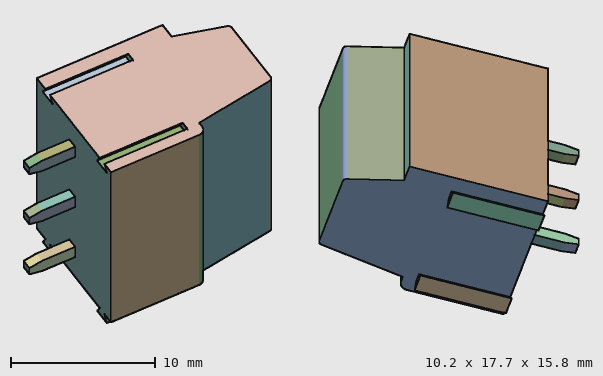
import cadquery as cq


total_length = 17.7
pole_count = 3
pole_pitch = 5.08

pin_length = 3.65
pin_center_x = 4.9
pin_width = 0.8
pin_height = 1.05
pin_tip_height = 0.64
pin_taper_length = 1.01

body_width = 10.25
body_depth = total_length - pin_length
body_height = pole_count * pole_pitch
left_shoulder_y = 10.04
left_shoulder_width = 1.25
right_shoulder_y = 7.61
right_shoulder_width = 1.0
right_shoulder_radius = 0.6
crest_left_x = 2.39
crest_right_x = 8.25
crest_radius = 0.3

dovetail_first_x = 1.5
dovetail_spacing = 7.5
dovetail_neck = 0.65
dovetail_base = 1.35
dovetail_height = 0.6
dovetail_length = 6.62


def make_housing():
    """Stepped outline with a tapered crest, extruded over all poles."""
    outline = [
        (0, 0),
        (body_width, 0),
        (body_width, right_shoulder_y),
        (body_width - right_shoulder_width, right_shoulder_y),
        (crest_right_x, body_depth),
        (crest_left_x, body_depth),
        (left_shoulder_width, left_shoulder_y),
        (0, left_shoulder_y),
    ]
    housing = cq.Workplane("XY").polyline(outline).close().extrude(body_height)
    housing = housing.faces(">Y").edges("|Z").fillet(crest_radius)
    rounded_shoulder = cq.selectors.NearestToPointSelector(
        (body_width, right_shoulder_y, body_height / 2)
    )
    return housing.edges("|Z").edges(rounded_shoulder).fillet(right_shoulder_radius)


def make_dovetail(center_x, neck_z):
    """Dovetail hanging below neck_z, widest at the bottom and running back from the pin face."""
    base_z = neck_z - dovetail_height
    section = [
        (center_x - dovetail_neck / 2, neck_z),
        (center_x + dovetail_neck / 2, neck_z),
        (center_x + dovetail_base / 2, base_z),
        (center_x - dovetail_base / 2, base_z),
    ]
    return cq.Workplane("XZ").polyline(section).close().extrude(-dovetail_length)


def make_pin(center_z):
    """Rectangular pin whose upper and lower faces taper toward the tip."""
    taper_start_y = pin_taper_length - pin_length
    side_profile = [
        (0, center_z - pin_height / 2),
        (taper_start_y, center_z - pin_height / 2),
        (-pin_length, center_z - pin_tip_height / 2),
        (-pin_length, center_z + pin_tip_height / 2),
        (taper_start_y, center_z + pin_height / 2),
        (0, center_z + pin_height / 2),
    ]
    side_plane = cq.Workplane("YZ", origin=(pin_center_x, 0, 0))
    return side_plane.polyline(side_profile).close().extrude(pin_width / 2, both=True)


result = make_housing()

for dovetail_x in (dovetail_first_x, dovetail_first_x + dovetail_spacing):
    result = result.cut(make_dovetail(dovetail_x, body_height))
    result = result.union(make_dovetail(dovetail_x, 0))

for pole in range(pole_count):
    result = result.union(make_pin((pole + 0.5) * pole_pitch))